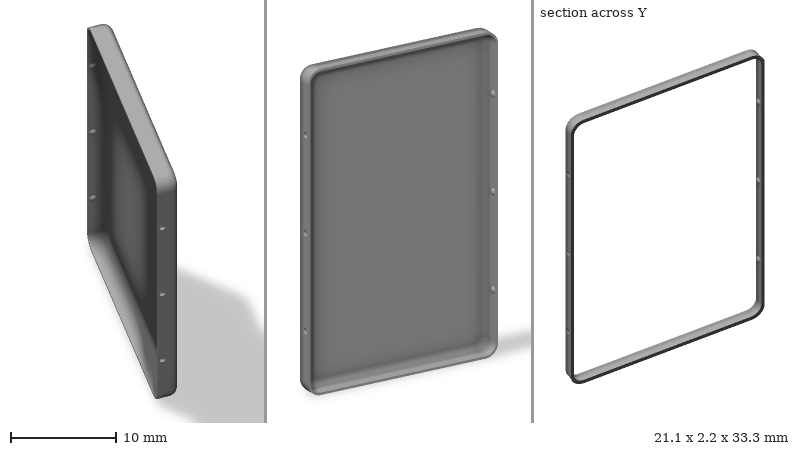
import cadquery as cq

WIDTH = 21.1
DEPTH = 2.2
HEIGHT = 33.3
WALL = 0.25

CORNER_RADIUS = 1.4
FLOOR_EDGE_RADIUS = 0.9

DIMPLE_PITCH = 10.0
DIMPLE_COUNT = 3
DIMPLE_EDGE_DISTANCE = 0.5
DENT_RADIUS = 0.3
BUMP_RADIUS = 0.45

OPEN_FACE_Y = -DEPTH / 2
DIMPLE_Y = OPEN_FACE_Y + DIMPLE_EDGE_DISTANCE


def rounded_block(inset):
    """Block shrunk by inset on the sides and floor, flush with the open face."""
    return (
        cq.Workplane("XZ", origin=(0, OPEN_FACE_Y, 0))
        .rect(WIDTH - 2 * inset, HEIGHT - 2 * inset)
        .extrude(-(DEPTH - inset))
        .edges("|Y")
        .fillet(CORNER_RADIUS - inset)
        .faces(">Y")
        .edges()
        .fillet(FLOOR_EDGE_RADIUS - inset)
    )


def dimple_domes(radius):
    """Half balls standing inward from the outer faces of both side walls."""
    first_z = -DIMPLE_PITCH * (DIMPLE_COUNT - 1) / 2
    right_face_x = WIDTH / 2
    domes = cq.Workplane("XY")
    for index in range(DIMPLE_COUNT):
        dome = (
            cq.Workplane("XY", origin=(right_face_x, DIMPLE_Y, first_z + DIMPLE_PITCH * index))
            .lineTo(0, radius)
            .radiusArc((-radius, 0), -radius)
            .close()
            .revolve(360, (0, 0), (1, 0))
        )
        domes = domes.add(dome).add(dome.mirror("YZ"))
    return domes.combine()


tray = rounded_block(0).cut(rounded_block(WALL))

result = tray.union(dimple_domes(BUMP_RADIUS)).cut(dimple_domes(DENT_RADIUS))